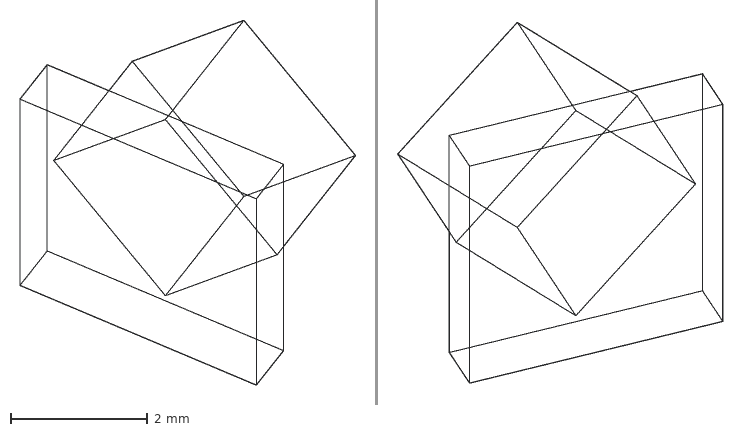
import cadquery as cq

plate_side = 4.0
plate_thickness = 0.8

total_depth = 3.1
post_diagonal = 3.78
post_length = total_depth - plate_thickness


def make_plate():
    """Square plate with its front face on the XZ plane, growing toward +Y."""
    return cq.Workplane("XZ").rect(plate_side, plate_side).extrude(-plate_thickness)


def make_post():
    """Square post with its corners on the X and Z axes, starting at the plate's back face."""
    half_diagonal = post_diagonal / 2
    corners = [
        (half_diagonal, 0),
        (0, half_diagonal),
        (-half_diagonal, 0),
        (0, -half_diagonal),
    ]
    return (
        cq.Workplane("XZ", origin=(0, plate_thickness, 0))
        .polyline(corners)
        .close()
        .extrude(-post_length)
    )


plate = make_plate()
post = make_post()

result = cq.Compound.makeCompound([plate.val(), post.val()])